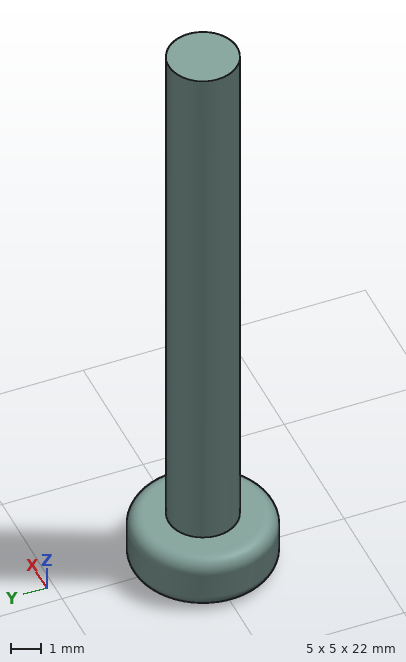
import cadquery as cq

total_length = 22.0
head_diameter = 5.0
head_thickness = 2.0
head_edge_radius = 0.5
shank_diameter = 2.42

shank_length = total_length - head_thickness

head = (
    cq.Workplane("XY")
    .circle(head_diameter / 2)
    .extrude(head_thickness)
    .edges("%CIRCLE")
    .fillet(head_edge_radius)
)

shank = (
    cq.Workplane("XY", origin=(0, 0, head_thickness))
    .circle(shank_diameter / 2)
    .extrude(shank_length)
)

result = head.union(shank)